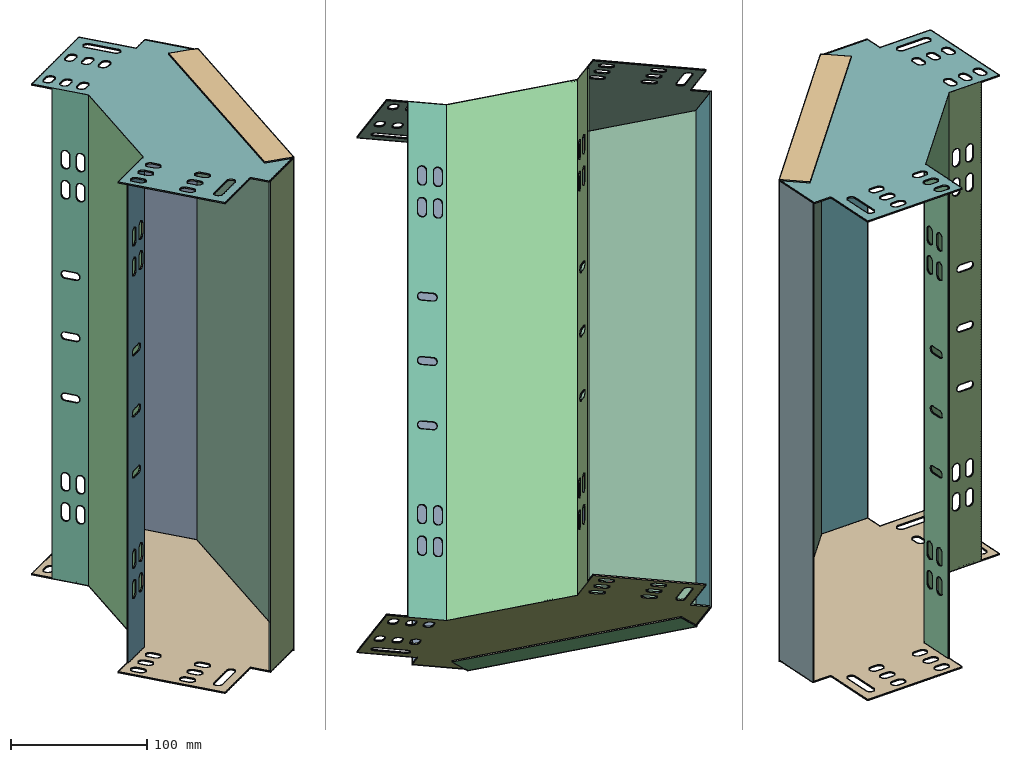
import cadquery as cq
import math

total_height = 403.0
span = 226.0
sheet = 1.0

arm_inner = 124.0
arm_outer = 210.0
arm_length = 46.0
inner_bend = 45.5
outer_bend = 88.5

wall_setback = 16.0
lip_width = 23.0

long_slot_length = 30.0
long_slot_width = 7.0
long_slot_along = 23.0
long_slot_across = 199.5
plate_slot_length = 12.0
plate_slot_width = 7.3
first_plate_slot = 8.5
last_plate_slot = 35.5
plate_slots_along = (first_plate_slot, (first_plate_slot + last_plate_slot) / 2, last_plate_slot)
plate_slots_across = (136.5, 176.0)

tall_slot_length = 15.0
tall_slot_width = 7.0
tall_slots_along = (27.0, 39.0)
tall_slot_heights = (119.5, 144.0)
flat_slot_length = 15.0
flat_slot_width = 6.0
flat_slot_along = 31.0
flat_slot_pitch = 50.0

half_height = total_height / 2
plate_top = half_height - sheet
plate_bottom = plate_top - sheet
bend_shift = sheet * math.tan(math.radians(45 / 2))


def mirrored(points):
    """Reflect points about y = x, reversed so that they carry an outline on."""
    return [(y, x) for x, y in reversed(points)]


def prism(outline, z_low, z_high):
    """Upright prism on a closed plan outline."""
    return cq.Workplane("XY", origin=(0, 0, z_low)).polyline(outline).close().extrude(z_high - z_low)


def diagonal_strip(start, width, z_low, z_high):
    """Strip along the diagonal from start to its mirror point, laid inward."""
    inset = width / math.sqrt(2)
    edge = [start, (start[0] - inset, start[1] - inset)]
    return prism(edge + mirrored(edge), z_low, z_high)


def plate_slots():
    """Cutters for the slots of the arm along X, through both plates."""
    bottom_face = cq.Workplane("XY", origin=(0, 0, -half_height))
    long_slot = (
        bottom_face.center(long_slot_along, long_slot_across)
        .slot2D(long_slot_length, long_slot_width)
        .extrude(total_height)
    )
    small_slots = (
        bottom_face.pushPoints([(x, y) for x in plate_slots_along for y in plate_slots_across])
        .slot2D(plate_slot_length, plate_slot_width, 90)
        .extrude(total_height)
    )
    return long_slot.add(small_slots).combine()


def wall_slots():
    """Cutters for the slots of the inner wall flange along X."""
    flange_face = cq.Workplane("XZ", origin=(0, arm_inner, 0))
    tall_places = [
        (x, side * height) for x in tall_slots_along for height in tall_slot_heights for side in (-1, 1)
    ]
    tall_slots = (
        flange_face.pushPoints(tall_places)
        .slot2D(tall_slot_length, tall_slot_width, 90)
        .extrude(-sheet)
    )
    flat_slots = (
        flange_face.pushPoints([(flat_slot_along, row * flat_slot_pitch) for row in (-1, 0, 1)])
        .slot2D(flat_slot_length, flat_slot_width)
        .extrude(-sheet)
    )
    return tall_slots.add(flat_slots).combine()


def mirror_across_diagonal(shape):
    """Reflect a shape about the upright plane y = x."""
    diagonal_plane = cq.Plane(origin=(0, 0, 0), xDir=(0, 0, 1), normal=(1, -1, 0))
    return cq.Workplane(diagonal_plane).add(shape.vals()).mirror(diagonal_plane.zDir)


def folded_wall(outer_face, inner_face, height):
    """Upright sheet between two half paths, each carried on by its mirror image."""
    outline = outer_face + mirrored(outer_face)
    outline += reversed(inner_face + mirrored(inner_face))
    return prism(outline, -height / 2, height / 2)


def make_channel():
    """Top and bottom plates joined by the folded inner wall."""
    half_outline = [
        (inner_bend, arm_inner),
        (0, arm_inner),
        (0, arm_outer),
        (arm_length, arm_outer),
        (arm_length, span - sheet),
        (outer_bend - bend_shift, span - sheet),
    ]
    plate_outline = half_outline + mirrored(half_outline)
    top_plate = prism(plate_outline, plate_bottom, plate_top)
    bottom_plate = prism(plate_outline, -plate_top, -plate_bottom)
    inner_wall = folded_wall(
        [(wall_setback, arm_inner), (inner_bend, arm_inner)],
        [(wall_setback, arm_inner + sheet), (inner_bend + bend_shift, arm_inner + sheet)],
        2 * plate_top,
    )
    channel = inner_wall.union(top_plate).union(bottom_plate)
    for cutters in (plate_slots(), wall_slots()):
        channel = channel.cut(cutters).cut(mirror_across_diagonal(cutters))
    return channel


def make_outer_wall():
    """Folded outer wall with a lip at its top and bottom edge."""
    panels = folded_wall(
        [(arm_length, span), (outer_bend, span)],
        [(arm_length, span - sheet), (outer_bend - bend_shift, span - sheet)],
        2 * plate_top,
    )
    lip_start = (outer_bend, span)
    top_lip = diagonal_strip(lip_start, lip_width, plate_top, half_height)
    bottom_lip = diagonal_strip(lip_start, lip_width, -half_height, -plate_top)
    return panels.union(top_lip).union(bottom_lip)


channel = make_channel()
outer_wall = make_outer_wall()

result = cq.Compound.makeCompound([channel.solids().val(), outer_wall.solids().val()])